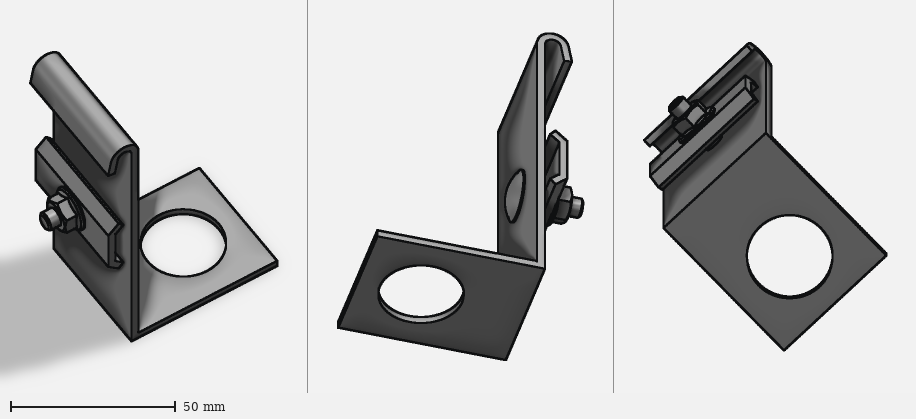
import cadquery as cq
import math

bracket_width = 43.0
bracket_height = 97.0
sheet = 2.5
foot_length = 53.0
foot_hole_diameter = 26.0
foot_hole_edge_distance = 20.0
hook_outer_radius = 2 * sheet
hook_inner_radius = hook_outer_radius - sheet
hook_sweep = math.radians(170)
hook_lip_length = 5.8

clip_length = 40.1
clip_height = 22.0
clip_web_height = 15.2
clip_gap = 4.9
clip_arm_lean = math.radians(48)

bolt_height = 47.8
bolt_diameter = 6.0
bolt_reach = 17.6
bolt_tip_chamfer = 0.6
head_diameter = 16.3
head_rim = 0.5
head_height = 3.5

nut_width = 10.3
nut_height = 5.9
nut_top_diameter = 9.6
nut_chamfer_angle = math.radians(30)
flange_diameter = 14.55
flange_shoulder_diameter = 13.6
flange_rim = 0.5
flange_shoulder = 1.2
flange_cone_top = 1.8

clip_outer_y = -clip_gap - sheet


def along_bolt(x, y, z):
    """Workplane square to the bolt, with its normal along -Y and local y along +Z."""
    return cq.Workplane(cq.Plane(origin=(x, y, z), xDir=(1, 0, 0), normal=(0, -1, 0)))


def bolt_hole():
    """Bore for the shank, from behind the upright to beyond the bolt's tip."""
    return along_bolt(0, sheet, bolt_height).circle(bolt_diameter / 2).extrude(sheet + bolt_reach)


def turned(profile):
    """Revolve a (radius, Y) sketch around the bolt's axis."""
    return profile.close().revolve(360, (0, 0), (0, 1)).translate((0, 0, bolt_height))


def extruded_along_x(profile, length):
    """Extrude a (Y, Z) outline symmetrically about X = 0."""
    return profile.close().extrude(length / 2, both=True)


def make_bracket():
    center_y = sheet - hook_outer_radius
    center_z = bracket_height - hook_outer_radius

    def hook_point(radius, angle, along_lip=0.0):
        return (
            center_y + radius * math.cos(angle) - along_lip * math.sin(angle),
            center_z + radius * math.sin(angle) + along_lip * math.cos(angle),
        )

    outline = (
        cq.Workplane("YZ")
        .moveTo(0, 0)
        .lineTo(foot_length, 0)
        .lineTo(foot_length, sheet)
        .lineTo(sheet, sheet)
        .lineTo(*hook_point(hook_outer_radius, 0))
        .threePointArc(
            hook_point(hook_outer_radius, hook_sweep / 2),
            hook_point(hook_outer_radius, hook_sweep),
        )
        .lineTo(*hook_point(hook_outer_radius, hook_sweep, hook_lip_length))
        .lineTo(*hook_point(hook_inner_radius, hook_sweep, hook_lip_length))
        .lineTo(*hook_point(hook_inner_radius, hook_sweep))
        .threePointArc(
            hook_point(hook_inner_radius, hook_sweep / 2),
            hook_point(hook_inner_radius, 0),
        )
    )
    foot_hole = (
        cq.Workplane("XY")
        .center(0, foot_length - foot_hole_edge_distance)
        .circle(foot_hole_diameter / 2)
        .extrude(sheet)
    )
    return extruded_along_x(outline, bracket_width).cut(foot_hole).cut(bolt_hole())


def make_clip():
    arm_rise = (clip_height - clip_web_height) / 2
    outer_corner = clip_web_height / 2
    inner_corner = outer_corner - sheet * math.tan(clip_arm_lean / 2)
    tip_y = clip_outer_y + arm_rise * math.tan(clip_arm_lean)
    tip_z = clip_height / 2
    inner_tip_y = tip_y + sheet * math.cos(clip_arm_lean)
    inner_tip_z = tip_z - sheet * math.sin(clip_arm_lean)
    upper_half = [
        (clip_outer_y, outer_corner),
        (tip_y, tip_z),
        (inner_tip_y, inner_tip_z),
        (-clip_gap, inner_corner),
    ]
    lower_half = [(y, -z) for y, z in reversed(upper_half)]
    outline = cq.Workplane("YZ").polyline(upper_half + lower_half)
    clip = extruded_along_x(outline, clip_length).translate((0, 0, bolt_height))
    return clip.cut(bolt_hole())


def make_bolt():
    head_radius = head_diameter / 2
    shank_radius = bolt_diameter / 2
    dome_rise = head_height - head_rim
    dome_radius = (head_radius**2 + dome_rise**2) / (2 * dome_rise)
    mid_radius = head_radius / 2
    head_top = sheet + head_height
    mid_y = head_top - dome_radius + math.sqrt(dome_radius**2 - mid_radius**2)
    profile = (
        cq.Workplane("XY")
        .moveTo(0, head_top)
        .threePointArc((mid_radius, mid_y), (head_radius, sheet + head_rim))
        .lineTo(head_radius, sheet)
        .lineTo(shank_radius, sheet)
        .lineTo(shank_radius, -bolt_reach + bolt_tip_chamfer)
        .lineTo(shank_radius - bolt_tip_chamfer, -bolt_reach)
        .lineTo(0, -bolt_reach)
    )
    return turned(profile)


def make_nut():
    across_corners = nut_width / math.cos(math.pi / 6)
    hexagon = (
        along_bolt(0, clip_outer_y, bolt_height)
        .transformed(rotate=(0, 0, 90))
        .polygon(6, across_corners)
        .extrude(nut_height)
    )

    nut_top_y = clip_outer_y - nut_height
    bevel_slope = math.tan(nut_chamfer_angle)
    bevel_drop = (across_corners - nut_top_diameter) / 2 * bevel_slope
    bevel = turned(
        cq.Workplane("XY")
        .moveTo(0, clip_outer_y)
        .lineTo(across_corners / 2, clip_outer_y)
        .lineTo(across_corners / 2, nut_top_y + bevel_drop)
        .lineTo(nut_top_diameter / 2, nut_top_y)
        .lineTo(0, nut_top_y)
    )

    flange = turned(
        cq.Workplane("XY")
        .moveTo(0, clip_outer_y)
        .lineTo(flange_diameter / 2, clip_outer_y)
        .lineTo(flange_diameter / 2, clip_outer_y - flange_rim)
        .lineTo(flange_shoulder_diameter / 2, clip_outer_y - flange_shoulder)
        .lineTo(nut_width / 2, clip_outer_y - flange_cone_top)
        .lineTo(0, clip_outer_y - flange_cone_top)
    )
    return hexagon.intersect(bevel).union(flange).cut(bolt_hole())


bracket = make_bracket()
clip = make_clip()
bolt = make_bolt()
nut = make_nut()

bodies = [bracket, clip, bolt, nut]
result = cq.Compound.makeCompound([body.solids().val() for body in bodies])